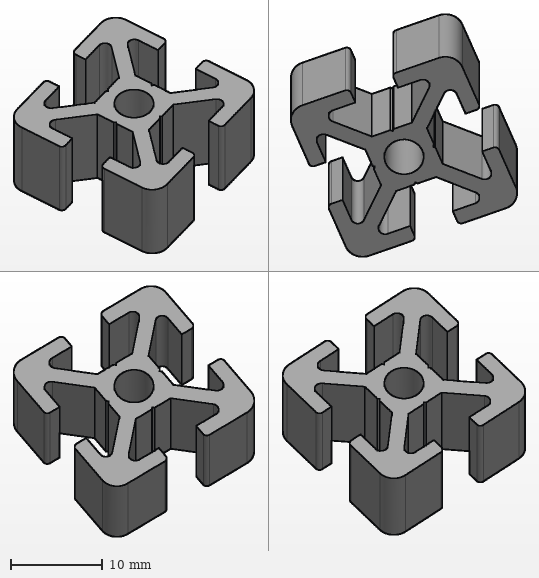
import cadquery as cq
import math

side = 20.0
length = 10.0
corner_radius = 2.0
bore_diameter = 4.3

slot_width = 5.0
lip_thickness = 1.8
lip_radius = 0.5
undercut_radius = 0.75

core_width = 7.25
rib_thickness = 1.8

groove_width = 0.4
groove_depth = 0.2

half_side = side / 2
half_slot = slot_width / 2
slot_top = half_side - lip_thickness
slot_floor = core_width / 2
rib_offset = rib_thickness / math.sqrt(2)
half_floor = slot_floor - rib_offset
half_top = slot_top - rib_offset


def make_body():
    return cq.Workplane("XY").rect(side, side).extrude(length).edges("|Z").fillet(corner_radius)


def make_slot():
    """T-slot opening towards +Y, with sloping rib flanks and a grooved floor."""
    cavity = (
        cq.Workplane("XY")
        .polyline([
            (-half_floor, slot_floor),
            (-half_top, slot_top),
            (half_top, slot_top),
            (half_floor, slot_floor),
            (groove_width / 2, slot_floor),
            (0, slot_floor - groove_depth),
            (-groove_width / 2, slot_floor),
        ])
        .close()
        .extrude(length)
    )
    cavity = cavity.edges("|Z and (<X or >X)").fillet(undercut_radius)
    opening = (
        cq.Workplane("XY")
        .center(0, slot_top + lip_thickness / 2)
        .rect(slot_width, lip_thickness)
        .extrude(length)
    )
    return cavity.union(opening)


def round_lips(body):
    """Round the outer edges of the lips on both sides of every slot mouth."""
    mouth_points = []
    for across in (-half_slot, half_slot):
        for outward in (-half_side, half_side):
            mouth_points += [(across, outward), (outward, across)]
    for x, y in mouth_points:
        edge = cq.selectors.NearestToPointSelector((x, y, length / 2))
        body = body.edges(edge).fillet(lip_radius)
    return body


result = make_body()
slot = make_slot()
for angle in (0, 90, 180, 270):
    result = result.cut(slot.rotate((0, 0, 0), (0, 0, 1), angle))
result = round_lips(result)
bore = cq.Workplane("XY").circle(bore_diameter / 2).extrude(length)
result = result.cut(bore)